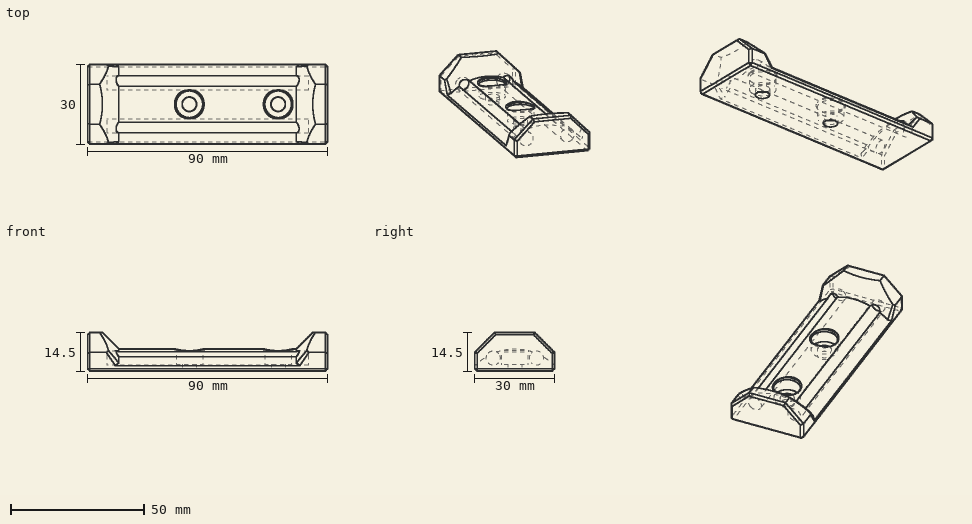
import cadquery as cq
import math

length = 90.0
width = 30.0
height = 14.5
shoulder = 7.5
edge_chamfer = 0.9

floor_radius = 21.0
crown_height = 8.4
axis_z = crown_height - floor_radius
floor_half_length = length / 2 - 11.7
wall_rise = 13.5

relief_top_x = length / 2 - 7.0
relief_bottom_x = length / 2 - 10.4
relief_top_z = height - shoulder
relief_bottom_z = 2.0
relief_width = 1.4
relief_depth = 0.7
relief_reach = 3.0

groove_diameter = 5.3
groove_y = 8.1
groove_axis_radius = floor_radius - 1.6
groove_z = axis_z + math.sqrt(groove_axis_radius**2 - groove_y**2)
groove_half_length = length / 2 - 7.2

hole_positions = (-6.8, 26.5)
hole_diameter = 5.3
counterbore_diameter = 10.0
counterbore_floor = 2.6
rim_chamfer = 0.5


def make_block():
    """Bar with bevelled shoulders and chamfered ends and bottom edges."""
    half = width / 2
    section = [
        (-half, 0),
        (half, 0),
        (half, height - shoulder),
        (half - shoulder, height),
        (-half + shoulder, height),
        (-half, height - shoulder),
    ]
    bar = cq.Workplane("YZ").polyline(section).close().extrude(length / 2, both=True)
    return bar.faces("<X or >X or <Z").edges().chamfer(edge_chamfer)


def make_saddle():
    """Ring around the saddle axis, leaving the crowned floor and conical walls."""
    outer_half_length = floor_half_length + wall_rise
    profile = [
        (-floor_half_length, crown_height),
        (floor_half_length, crown_height),
        (outer_half_length, crown_height + wall_rise),
        (-outer_half_length, crown_height + wall_rise),
    ]
    ring = cq.Workplane("XZ").polyline(profile).close()
    return ring.revolve(360, (0, axis_z, 0), (1, axis_z, 0))


def make_reliefs():
    """Wedges at the four corners of the saddle, stopping at the crowned floor."""
    edge = cq.Vector(relief_bottom_x - relief_top_x, 0, relief_bottom_z - relief_top_z)
    start = cq.Vector(relief_top_x, width / 2, relief_top_z) - edge
    inward = cq.Vector(-relief_width, -relief_depth, 0) * relief_reach
    corners = [start, start + inward, start + cq.Vector(inward.x, 0, 0)]
    base = cq.Face.makeFromWires(cq.Wire.makePolygon(corners, close=True))
    wedge = cq.Workplane(cq.Solid.extrudeLinear(base, edge * relief_reach))
    floor_core = (
        cq.Workplane("YZ").center(0, axis_z).circle(floor_radius).extrude(length, both=True)
    )
    wedge = wedge.cut(floor_core)
    pair = wedge.union(wedge.mirror("XZ"))
    return pair.union(pair.mirror("YZ"))


def make_grooves():
    """Round grooves running the length of the floor."""
    centres = [(-groove_y, groove_z), (groove_y, groove_z)]
    start = cq.Workplane("YZ", origin=(-groove_half_length, 0, 0))
    sketch = start.pushPoints(centres).circle(groove_diameter / 2)
    return sketch.extrude(2 * groove_half_length)


def make_hole(x):
    """Through hole with a chamfered counterbore opening at the crown."""
    bore = hole_diameter / 2
    seat = counterbore_diameter / 2
    rim = seat + rim_chamfer
    profile = [
        (0, 0),
        (bore, 0),
        (bore, counterbore_floor),
        (seat, counterbore_floor),
        (seat, crown_height - 2 * rim_chamfer),
        (rim, crown_height - rim_chamfer),
        (rim, crown_height),
        (0, crown_height),
    ]
    tool = cq.Workplane("XZ").polyline(profile).close().revolve(360, (0, 0, 0), (0, 1, 0))
    return tool.translate((x, 0, 0))


result = make_block().cut(make_saddle()).cut(make_reliefs()).cut(make_grooves())
for hole_x in hole_positions:
    result = result.cut(make_hole(hole_x))